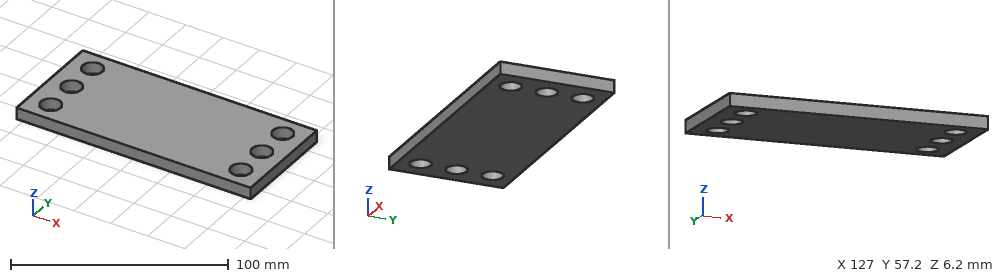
import cadquery as cq

length = 127.0
width = 57.2
thickness = 6.2

hole_diameter = 10.4
row_spacing = 103.1
hole_pitch = 18.0
row_count = 2
holes_per_row = 3

plate = cq.Workplane("XY").box(length, width, thickness)

result = (
    plate.faces(">Z")
    .workplane()
    .rarray(row_spacing, hole_pitch, row_count, holes_per_row)
    .hole(hole_diameter)
)